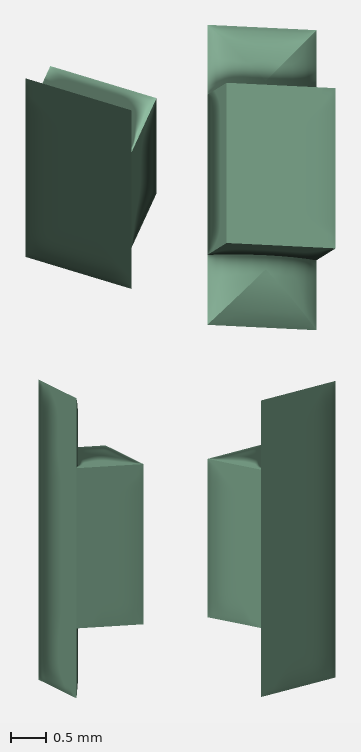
import cadquery as cq
import math

LENGTH = 4.3
WIDTH = 1.6
DEPTH = 1.0
TAB_LENGTH = 1.0
TAB_RISE = 0.2

HALF_WIDTH = WIDTH / 2
BODY_LENGTH = LENGTH - 2 * TAB_LENGTH

ARC_RADIUS = (HALF_WIDTH**2 + TAB_RISE**2) / (2 * TAB_RISE)
HALF_ARC_ANGLE = math.asin(HALF_WIDTH / ARC_RADIUS) / 2
ARC_MID_RUN = ARC_RADIUS * math.sin(HALF_ARC_ANGLE)
ARC_MID_RISE = TAB_RISE - ARC_RADIUS * (1 - math.cos(HALF_ARC_ANGLE))


def make_body():
    """Rectangular block between the two tabs."""
    return cq.Workplane("XY").box(WIDTH, DEPTH, BODY_LENGTH).translate((0, DEPTH / 2, 0))


def make_upper_tab():
    """Tab whose back is arched across X and also curves down to a sharp tip."""
    inner_z = BODY_LENGTH / 2
    tip_z = LENGTH / 2
    arc_start_z = tip_z - HALF_WIDTH

    cross_arch = (
        cq.Workplane("XY", origin=(0, 0, inner_z))
        .moveTo(-HALF_WIDTH, 0)
        .threePointArc((0, TAB_RISE), (HALF_WIDTH, 0))
        .close()
        .extrude(TAB_LENGTH)
    )
    tip_profile = (
        cq.Workplane("YZ", origin=(-HALF_WIDTH, 0, 0))
        .moveTo(0, inner_z)
        .lineTo(TAB_RISE, inner_z)
        .lineTo(TAB_RISE, arc_start_z)
        .threePointArc((ARC_MID_RISE, arc_start_z + ARC_MID_RUN), (0, tip_z))
        .close()
        .extrude(WIDTH)
    )
    return cross_arch.intersect(tip_profile)


body = make_body()

tabs = []
for turn in (0, 180):
    tab = make_upper_tab().rotate((0, 0, 0), (0, 1, 0), turn)
    tabs.append(tab.val())

result = cq.Compound.makeCompound([body.val(), *tabs])